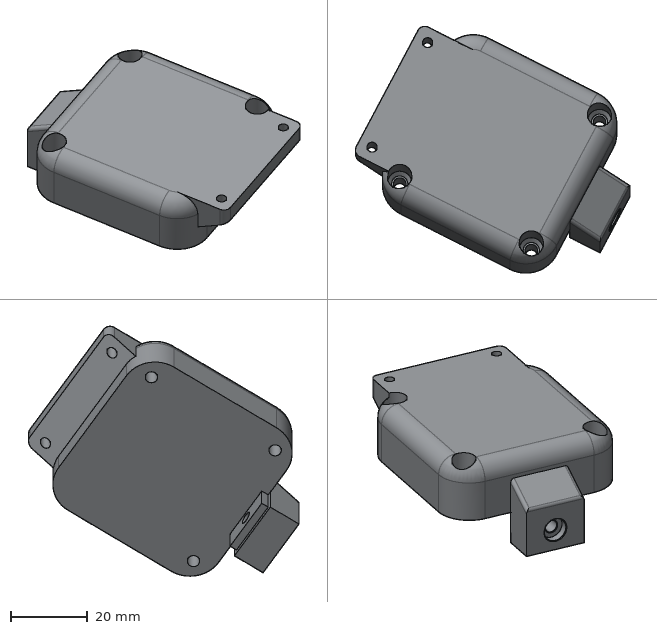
import cadquery as cq
import math

total_length = 66.9
total_height = 24.75
slope_angle = math.radians(30)

body_size = 50.0
body_left = 8.9
body_bottom = 8.8
body_corner_radius = 8.95
body_top_radius = 4.95

screw_inset = 5.7
screw_diameter = 3.2
screw_head_diameter = 6.3
screw_seat_floor_diameter = 4.2
screw_head_depth = 8.0

bracket_width = 38.9
bracket_tip_height = 4.5
bracket_corner_radius = 2.0
bracket_hole_diameter = 2.6
bracket_hole_inset = 3.75
bracket_hole_spacing = 31.45

latch_width = 17.0
latch_depth = 8.95
latch_front_height = 13.6
latch_edge_radius = 1.0

tab_width = 15.0
tab_thickness = 2.0
tab_bottom = 1.7

latch_hole_height = 5.75
latch_hole_diameter = 3.35
latch_counterbore_diameter = 6.3
latch_counterbore_depth = 2.35
latch_hole_chamfer = 0.2

body_right = body_left + body_size
body_center_x = body_left + body_size / 2
body_height = total_height - body_bottom


def side_profile(points, width):
    """Extrude an XZ outline symmetrically about Y = 0."""
    return cq.Workplane("XZ").polyline(points).close().extrude(width / 2, both=True)


def make_body():
    block = (
        cq.Workplane("XY", origin=(body_center_x, 0, body_bottom))
        .rect(body_size, body_size)
        .extrude(body_height)
    )
    return block.edges("|Z").fillet(body_corner_radius).faces(">Z").edges().fillet(body_top_radius)


def make_bracket():
    root_x = body_right - body_corner_radius
    tip_bottom = total_height - bracket_tip_height
    root_bottom = tip_bottom - (total_length - root_x) * math.tan(slope_angle)
    bracket = side_profile(
        [
            (root_x, root_bottom),
            (total_length, tip_bottom),
            (total_length, total_height),
            (root_x, total_height),
        ],
        bracket_width,
    )
    bracket = bracket.edges("|Z and >X").fillet(bracket_corner_radius)
    holes = (
        cq.Workplane("XY")
        .center(total_length - bracket_hole_inset, 0)
        .rarray(0.7, bracket_hole_spacing, 1, 2)
        .circle(bracket_hole_diameter / 2)
        .extrude(total_height)
    )
    return bracket.cut(holes)


def make_latch():
    back_height = latch_front_height + latch_depth * math.tan(slope_angle)
    block = side_profile(
        [
            (0, 0),
            (latch_depth, 0),
            (latch_depth, back_height),
            (0, latch_front_height),
        ],
        latch_width,
    )
    slope_normal = cq.Vector(-math.sin(slope_angle), 0, math.cos(slope_angle))
    slope_face = block.faces(cq.selectors.DirectionMinMaxSelector(slope_normal))
    return slope_face.edges("not >X").fillet(latch_edge_radius)


def make_tab():
    return cq.Workplane("XY", origin=(latch_depth, 0, tab_bottom)).box(
        tab_thickness,
        tab_width,
        body_bottom - tab_bottom,
        centered=(False, True, False),
    )


def cone_cutter(start_diameter, end_diameter):
    """45-degree cone frustum along +X from the origin."""
    depth = (start_diameter - end_diameter) / 2
    half_section = [
        (0, 0),
        (0, start_diameter / 2),
        (depth, end_diameter / 2),
        (depth, 0),
    ]
    return cq.Workplane("XY").polyline(half_section).close().revolve(360, (0, 0), (1, 0))


def cylinder_cutter(diameter, depth):
    """Cylinder along +X from the origin."""
    return cq.Workplane("YZ").circle(diameter / 2).extrude(depth)


def make_screw_holes():
    seat = cone_cutter(screw_head_diameter, screw_seat_floor_diameter).translate((screw_head_depth, 0, 0))
    head = cylinder_cutter(screw_head_diameter, screw_head_depth)
    shank = cylinder_cutter(screw_diameter, body_height)
    screw_hole = head.union(seat).union(shank).rotate((0, 0, 0), (0, 1, 0), 90)
    offset = body_size / 2 - screw_inset
    holes = cq.Workplane("XY")
    for side_x, side_y in [(-1, -1), (-1, 1), (1, 1)]:
        position = (body_center_x + side_x * offset, side_y * offset, total_height)
        holes = holes.add(screw_hole.translate(position))
    return holes.combine()


def chamfered_hole(diameter, depth):
    """Cylinder along +X with a chamfered mouth at the origin."""
    mouth = cone_cutter(diameter + 2 * latch_hole_chamfer, diameter)
    return cylinder_cutter(diameter, depth).union(mouth)


def make_latch_hole():
    counterbore = chamfered_hole(latch_counterbore_diameter, latch_counterbore_depth)
    bore_length = latch_depth + tab_thickness - latch_counterbore_depth
    bore = chamfered_hole(latch_hole_diameter, bore_length).translate((latch_counterbore_depth, 0, 0))
    return counterbore.union(bore).translate((0, 0, latch_hole_height))


housing = make_body().union(make_bracket()).cut(make_screw_holes())
latch = make_latch().union(make_tab()).cut(make_latch_hole())
result = housing.union(latch)